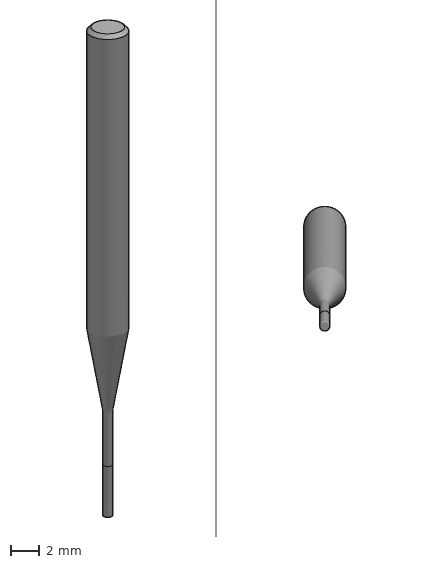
import cadquery as cq

total_length = 38.0

tip_diameter = 0.72
tip_length = 4.0
tip_corner_radius = 0.08

neck_diameter = tip_diameter
neck_top = 7.98
collar_diameter = 0.75
collar_top = 8.32
shank_diameter = 3.0
shank_bottom = 14.6
shank_chamfer = 0.3


def make_tip():
    """Cylindrical cutting tip with a rounded lower corner."""
    tip = cq.Workplane("XY").circle(tip_diameter / 2).extrude(tip_length)
    return tip.faces("<Z").edges().fillet(tip_corner_radius)


def make_holder():
    """Slim neck that flares through a short taper and a long cone into the shank."""
    shank_radius = shank_diameter / 2
    profile = (
        cq.Workplane("XZ")
        .moveTo(0, tip_length)
        .lineTo(neck_diameter / 2, tip_length)
        .lineTo(neck_diameter / 2, neck_top)
        .lineTo(collar_diameter / 2, collar_top)
        .lineTo(shank_radius, shank_bottom)
        .lineTo(shank_radius, total_length - shank_chamfer)
        .lineTo(shank_radius - shank_chamfer, total_length)
        .lineTo(0, total_length)
        .close()
    )
    return profile.revolve(360, (0, 0, 0), (0, 1, 0))


tip = make_tip()
holder = make_holder()

result = cq.Compound.makeCompound([tip.val(), holder.val()])